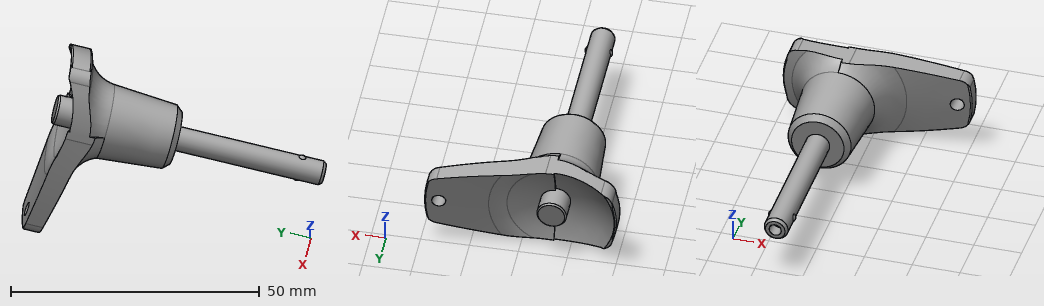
import cadquery as cq
import math


overall_length = 55.9

shank_diameter = 5.0
tip_chamfer_length = 0.65
tip_chamfer_width = 0.45
tip_bore_diameter = 2.5
tip_bore_depth = 2.8

ball_diameter = 1.95
ball_protrusion = 0.35
ball_to_tip = 5.1

button_diameter = 6.05
button_chamfer_length = 0.4
button_chamfer_width = 0.3

grip_end_y = -25.05
grip_top_y = -10.35
grip_top_radius = 7.65
grip_bottom_radius = 6.6
grip_chamfer_length = 1.3
grip_chamfer_width = 1.1

half_height = 8.805
short_tip_x = -13.3
long_tip_x = 26.0
side_joint_x = 1.7
crown_radius = 32.4
short_side_end_x = -10.1
short_corner_middle = (-11.6, 6.5)
short_corner_end = (-12.4, 5.15)
long_side_middle = (13.4, 7.55)
long_side_end = (23.5, 5.85)
long_corner_middle = (24.8, 5.25)
long_corner_end = (25.55, 4.25)

short_dish_y = -5.25
short_dish_radius = 18.35
short_flare_middle = (9.0, -6.9)
short_flare_end = (11.2, -4.9)
short_underside_tip = (13.7, -4.15)

long_dish_y = -4.6
long_dish_radius = 20.95
long_dish_edge_radius = 9.5
long_back_start_radius = 13.1
long_back_slope = 0.1
long_flare_middle = (9.6, -7.5)
long_flare_end = (13.1, -5.8)
long_underside_tip = (26.85, -3.3)

wing_tip_chamfer = 0.3
lanyard_hole_diameter = 2.8
lanyard_hole_x = 23.1


def dish_height(radius, dish_y, dish_radius):
    """Y of a spherical dish centred on the pin axis."""
    return dish_y + dish_radius - math.sqrt(dish_radius**2 - radius**2)


def crown_z(x):
    """Half height of the outline on the arc that crosses the pin axis."""
    return half_height - crown_radius + math.sqrt(crown_radius**2 - x**2)


def mirrored(point):
    return (point[0], -point[1])


def half_turn(profile, start_angle):
    """Revolve a (radius, Y) profile half way round the pin axis."""
    turned = profile.close().revolve(180, (0, 0, 0), (0, 1, 0))
    return turned.rotate((0, 0, 0), (0, 1, 0), start_angle)


def short_wing():
    rim_drop = short_dish_radius + short_dish_y
    rim_radius = math.sqrt(short_dish_radius**2 - rim_drop**2)
    middle = rim_radius / 2
    profile = (
        cq.Workplane("XY")
        .moveTo(0, grip_top_y)
        .lineTo(grip_top_radius, grip_top_y)
        .threePointArc(short_flare_middle, short_flare_end)
        .lineTo(*short_underside_tip)
        .lineTo(short_underside_tip[0], 0)
        .lineTo(rim_radius, 0)
        .threePointArc(
            (middle, dish_height(middle, short_dish_y, short_dish_radius)),
            (0, short_dish_y),
        )
    )
    return half_turn(profile, 90)


def long_wing():
    middle = long_dish_edge_radius / 2
    dish_edge_y = dish_height(long_dish_edge_radius, long_dish_y, long_dish_radius)
    back_start_y = -long_back_slope * (long_tip_x - long_back_start_radius)
    profile = (
        cq.Workplane("XY")
        .moveTo(0, grip_top_y)
        .lineTo(0, long_dish_y)
        .threePointArc(
            (middle, dish_height(middle, long_dish_y, long_dish_radius)),
            (long_dish_edge_radius, dish_edge_y),
        )
        .tangentArcPoint((long_back_start_radius, back_start_y), relative=False)
        .lineTo(long_tip_x, 0)
        .lineTo(long_underside_tip[0], 0)
        .lineTo(*long_underside_tip)
        .lineTo(*long_flare_end)
        .threePointArc(long_flare_middle, (grip_top_radius, grip_top_y))
    )
    return half_turn(profile, -90)


def wing_outline():
    """Prism with the outline of both wings; the XZ workplane extrudes toward -Y."""
    joint = (side_joint_x, crown_z(side_joint_x))
    short_side_end = (short_side_end_x, crown_z(short_side_end_x))
    return (
        cq.Workplane("XZ")
        .moveTo(*joint)
        .threePointArc((0, half_height), short_side_end)
        .threePointArc(short_corner_middle, short_corner_end)
        .threePointArc((short_tip_x, 0), mirrored(short_corner_end))
        .threePointArc(mirrored(short_corner_middle), mirrored(short_side_end))
        .threePointArc((0, -half_height), mirrored(joint))
        .threePointArc(mirrored(long_side_middle), mirrored(long_side_end))
        .threePointArc(mirrored(long_corner_middle), mirrored(long_corner_end))
        .threePointArc((long_tip_x, 0), long_corner_end)
        .threePointArc(long_corner_middle, long_side_end)
        .threePointArc(long_side_middle, joint)
        .close()
        .extrude(-grip_top_y)
    )


def handle():
    wings = short_wing().union(long_wing()).intersect(wing_outline())
    for tip_face in ("<X", ">X"):
        tip_edges = wings.faces(tip_face).edges("not |Y")
        wings = tip_edges.chamfer(wing_tip_chamfer)
    hole = (
        cq.Workplane("XZ")
        .center(lanyard_hole_x, 0)
        .circle(lanyard_hole_diameter / 2)
        .extrude(-grip_top_y)
    )
    return wings.cut(hole)


def turned_body():
    """Release button, grip and shank as one turned solid inside the handle."""
    shank_radius = shank_diameter / 2
    button_radius = button_diameter / 2
    bore_radius = tip_bore_diameter / 2
    profile = [
        (0, 0),
        (button_radius - button_chamfer_width, 0),
        (button_radius, -button_chamfer_length),
        (button_radius, grip_top_y),
        (grip_top_radius, grip_top_y),
        (grip_bottom_radius, grip_end_y + grip_chamfer_length),
        (grip_bottom_radius - grip_chamfer_width, grip_end_y),
        (shank_radius, grip_end_y),
        (shank_radius, tip_chamfer_length - overall_length),
        (shank_radius - tip_chamfer_width, -overall_length),
        (bore_radius, -overall_length),
        (bore_radius, tip_bore_depth - overall_length),
        (0, tip_bore_depth - overall_length),
    ]
    return cq.Workplane("XY").polyline(profile).close().revolve(360, (0, 0, 0), (0, 1, 0))


def locking_balls():
    ball_radius = ball_diameter / 2
    offset = shank_diameter / 2 + ball_protrusion - ball_radius
    places = [(side * offset, ball_to_tip - overall_length) for side in (-1, 1)]
    return cq.Workplane("XY").pushPoints(places).sphere(ball_radius)


result = handle().union(turned_body()).union(locking_balls())